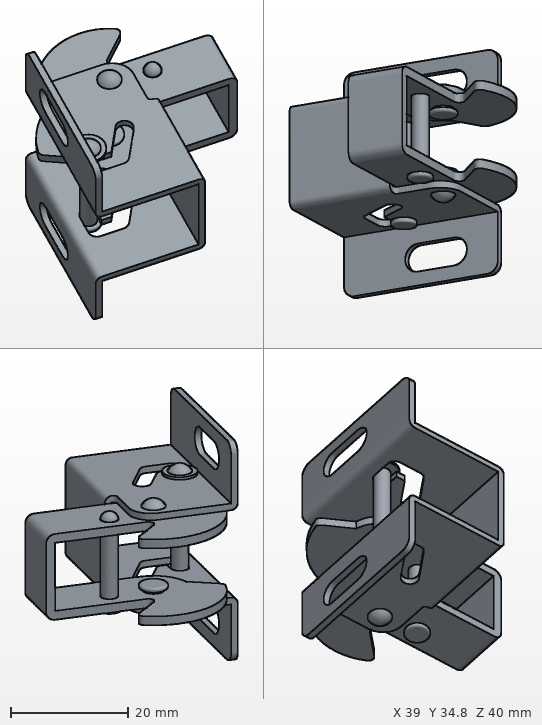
import cadquery as cq
import math


overall_height = 40.0
bracket_sheet = 1.25
bracket_outer = 18.4
bracket_width = 30.0
bracket_left = -3.5
bracket_front = -14.05
bracket_back = 6.3
ear_back = 4.3
ear_radius = 4.0
relief_radius = 0.7
flange_corner_radius = 2.0

mount_slot_length = 12.0
mount_slot_width = 5.0
mount_slot_x = 8.5
mount_slot_z = 15.0

guide_width = 3.15
guide_start = (10.9, -1.9)
guide_knee = (16.5, -5.25)

latch_sheet = 1.65
latch_outer = 15.7
latch_width = 10.45
latch_back = 20.75
hook_radius = 12.5
hook_middle_angle = 210.0
mouth_corner_y = 0.1
mouth_angle = 135.0
heel_start_x = 1.95
heel_angle = 241.0
hook_fillet = 1.0

rivet_diameter = 3.6
rivet_dome_diameter = 4.25
rivet_dome_height = 1.3
rivet_disc_diameter = 5.05
rivet_disc_thickness = 0.9
rivet_neck = 0.4
pin_diameter = 3.05
pin_disc_thickness = 0.9
disc_edge_radius = 0.4
slot_pin_at = (12.95, -9.5)
slot_pin_disc_diameter = 4.5
slot_pin_edge_radius = 0.25
collar_diameter = 6.1
collar_thickness = 0.5
latch_pin_at = (0.0, 8.0)
latch_pin_dome_diameter = 3.2
latch_pin_dome_height = 1.35
latch_pin_disc_diameter = 4.5

bracket_right = bracket_left + bracket_width
bracket_top = bracket_outer / 2
bracket_inside = bracket_top - bracket_sheet
latch_left = bracket_left
latch_right = latch_left + latch_width
latch_top = latch_outer / 2
latch_inside = latch_top - latch_sheet


def box(x_range, y_range, z_range):
    """Axis-aligned box between the given limits."""
    size = [high - low for low, high in (x_range, y_range, z_range)]
    corner = (x_range[0], y_range[0], z_range[0])
    return cq.Workplane("XY").box(*size, centered=False).translate(corner)


def cylinder(diameter, bottom, top, at=(0.0, 0.0)):
    """Upright cylinder between two heights."""
    return cq.Workplane("XY", origin=(*at, bottom)).circle(diameter / 2).extrude(top - bottom)


def dome(diameter, height, bottom, at=(0.0, 0.0)):
    """Spherical cap standing on the given height."""
    radius = diameter / 2
    sphere_radius = (radius**2 + height**2) / (2 * height)
    middle_angle = math.asin(radius / sphere_radius) / 2
    middle = (
        sphere_radius * math.sin(middle_angle),
        height - sphere_radius * (1 - math.cos(middle_angle)),
    )
    profile = cq.Workplane("XZ").lineTo(radius, 0).threePointArc(middle, (0, height)).close()
    return profile.revolve(360, (0, 0, 0), (0, 1, 0)).translate((*at, bottom))


def rounded_disc(diameter, bottom, top, edge_radius, at=(0.0, 0.0)):
    """Disc with both rims rounded."""
    return cylinder(diameter, bottom, top, at).edges("%CIRCLE").fillet(edge_radius)


def polar(radius, angle):
    """Point at a distance from the pivot, in the direction of an angle in radians."""
    return (radius * math.cos(angle), radius * math.sin(angle))


def meet_hook_arc(start, angle):
    """Point where a ray, given by its start and its direction in degrees, meets the hook arc."""
    dx, dy = polar(1, math.radians(angle))
    along = start[0] * dx + start[1] * dy
    reach = -along + math.sqrt(along**2 - start[0]**2 - start[1]**2 + hook_radius**2)
    return (start[0] + reach * dx, start[1] + reach * dy)


def fillet_upright_edge(body, at, radius):
    """Round the upright edges of a body nearest to a place in X and Y."""
    reach = 0.05
    corner = cq.selectors.BoxSelector(
        (at[0] - reach, at[1] - reach, -overall_height),
        (at[0] + reach, at[1] + reach, overall_height),
    )
    return body.edges("|Z").edges(corner).fillet(radius)


def guide_slot():
    """Hook-shaped slot of constant width, ending at the slot pin."""
    corner = (guide_knee[0], slot_pin_at[1])
    path = cq.Workplane("XY").polyline([guide_start, guide_knee, corner, slot_pin_at]).wire()
    cutter = path.offset2D(guide_width / 2).extrude(overall_height)
    return cutter.translate((0, 0, -overall_height / 2))


def make_bracket():
    x_range = (bracket_left, bracket_right)
    y_range = (bracket_front, bracket_back)

    body = box(x_range, y_range, (-bracket_top, bracket_top)).edges("|X and >Y").fillet(bracket_sheet)
    body = body.cut(
        box(x_range, (bracket_front, bracket_back - bracket_sheet), (-bracket_inside, bracket_inside))
    )

    flange_end = overall_height / 2
    for low, high in ((bracket_inside, flange_end), (-flange_end, -bracket_inside)):
        flange = box(x_range, (bracket_front, bracket_front + bracket_sheet), (low, high))
        tip = ">Z" if low > 0 else "<Z"
        body = body.union(flange.faces(tip).edges("|Y").fillet(flange_corner_radius))
    bend_edges = cq.selectors.BoxSelector(
        (bracket_left - bracket_sheet, bracket_front - bracket_sheet, -bracket_top),
        (bracket_right + bracket_sheet, bracket_front + bracket_sheet / 2, bracket_top),
    )
    body = body.edges("|X").edges(bend_edges).fillet(bracket_sheet)

    notch = box((bracket_left, latch_right), (ear_back, bracket_back), (-bracket_top, bracket_top))
    body = body.cut(notch)
    body = fillet_upright_edge(body, (latch_right, ear_back), relief_radius)
    body = fillet_upright_edge(body, (bracket_left, ear_back), ear_radius)

    slots = (
        cq.Workplane("XZ", origin=(0, bracket_front + bracket_sheet, 0))
        .pushPoints([(mount_slot_x, mount_slot_z), (mount_slot_x, -mount_slot_z)])
        .slot2D(mount_slot_length, mount_slot_width)
        .extrude(bracket_sheet)
    )
    pivot_hole = cylinder(rivet_diameter, -bracket_top, bracket_top)
    return body.cut(slots).cut(guide_slot()).cut(pivot_hole)


def make_latch():
    mouth_corner = (latch_left, mouth_corner_y)
    hook_tip = meet_hook_arc(mouth_corner, mouth_angle)
    hub_radius = latch_right
    heel_start_angle = -math.acos(heel_start_x / hub_radius)
    heel_start = polar(hub_radius, heel_start_angle)
    heel_tip = meet_hook_arc(heel_start, heel_angle)
    hook_middle = polar(hook_radius, math.radians(hook_middle_angle))

    body = (
        cq.Workplane("XY", origin=(0, 0, -latch_top))
        .moveTo(latch_left, latch_back)
        .lineTo(*mouth_corner)
        .lineTo(*hook_tip)
        .threePointArc(hook_middle, heel_tip)
        .lineTo(*heel_start)
        .threePointArc(polar(hub_radius, heel_start_angle / 2), (hub_radius, 0))
        .lineTo(latch_right, latch_back)
        .close()
        .extrude(latch_outer)
    )
    for corner in (mouth_corner, hook_tip, heel_tip):
        body = fillet_upright_edge(body, corner, hook_fillet)
    body = body.edges("|X and >Y").fillet(latch_sheet)
    body = body.cut(
        box(
            (-hook_radius, hook_radius),
            (-hook_radius, latch_back - latch_sheet),
            (-latch_inside, latch_inside),
        )
    )
    body = body.cut(cylinder(rivet_diameter, -latch_top, latch_top))
    return body.cut(cylinder(pin_diameter, -latch_top, latch_top, latch_pin_at))


def make_pivot_rivet():
    """Rivet on the upper side: dome outside the bracket, disc inside the latch."""
    disc_top = latch_inside - rivet_neck
    disc_bottom = disc_top - rivet_disc_thickness
    disc = rounded_disc(rivet_disc_diameter, disc_bottom, disc_top, disc_edge_radius)
    shank = cylinder(rivet_diameter, disc_top, bracket_top)
    return disc.union(shank).union(dome(rivet_dome_diameter, rivet_dome_height, bracket_top))


def make_latch_pin():
    """Pin across the latch arms: dome on top, disc underneath."""
    disc_bottom = -latch_top - pin_disc_thickness
    disc = rounded_disc(latch_pin_disc_diameter, disc_bottom, -latch_top, disc_edge_radius, latch_pin_at)
    shank = cylinder(pin_diameter, -latch_top, latch_top, latch_pin_at)
    head = dome(latch_pin_dome_diameter, latch_pin_dome_height, latch_top, latch_pin_at)
    return disc.union(shank).union(head)


def make_slot_pin():
    """Pin across the guide slots: collar and dome on top, disc underneath."""
    disc_bottom = -bracket_top - pin_disc_thickness
    disc = rounded_disc(
        slot_pin_disc_diameter, disc_bottom, -bracket_top, slot_pin_edge_radius, slot_pin_at
    )
    shank = cylinder(pin_diameter, -bracket_top, bracket_top, slot_pin_at)
    collar_top = bracket_top + collar_thickness
    collar = cylinder(collar_diameter, bracket_top, collar_top, slot_pin_at)
    head = dome(rivet_dome_diameter, rivet_dome_height, collar_top, slot_pin_at)
    return disc.union(shank).union(collar).union(head)


bracket = make_bracket()
latch = make_latch()
latch_pin = make_latch_pin()
slot_pin = make_slot_pin()
pivot_rivets = []
for turn in (0, 180):
    pivot_rivets.append(make_pivot_rivet().rotate((0, 0, 0), (0, 1, 0), turn))

result = cq.Compound.makeCompound(
    [
        bracket.val(),
        latch.val(),
        latch_pin.val(),
        slot_pin.val(),
        *[rivet.val() for rivet in pivot_rivets],
    ]
)